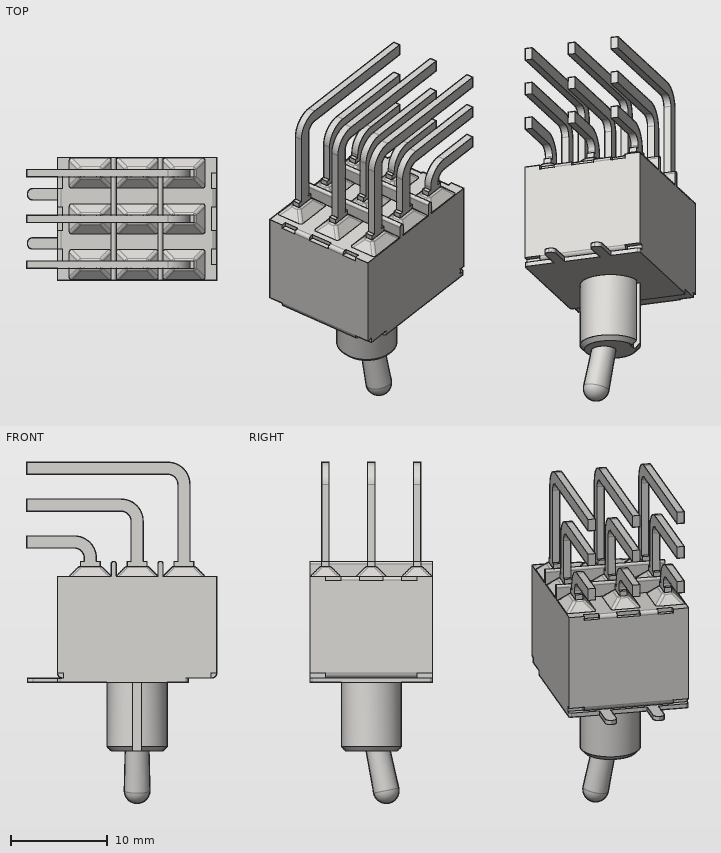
import cadquery as cq
import math


overall_length = 19.67
overall_height = 35.3

housing_length = 16.5
housing_width = 12.7
housing_top = 10.52
frame_thickness = 0.53
frame_width = 9.45
frame_bend_radius = 0.512
floor_length = 15.25

notch_depth = 0.42
notch_width = 0.53
folds_per_end = 2
fold_spacing = 4.35
fold_root_width = 1.9
fold_bend_radius = 0.4

columns = 3
rows = 3
column_pitch = 4.85
row_pitch = 4.73

boss_length = 4.38
boss_width = 3.1
boss_height = 1.02
boss_taper = 45.0
boss_edge_radius = 0.42

barrier_thickness = 0.53
barrier_top = 12.08

pin_width = 1.27
pin_thickness = 0.78
pin_level_pitch = 3.8
pin_bend_radius = 2.3
shoulder_length = 2.1
shoulder_top = 12.08

bracket_thickness = 0.45
bracket_right = 5.3
bracket_corner_radius = 0.25
lug_tip_gap = 0.07
lug_count = 2
lug_spacing = 5.1
lug_width = 1.2
lug_radius = 0.55

bushing_diameter = 6.25
bushing_bottom = -7.55
bushing_chamfer = 0.45
keyway_width = 0.95
keyway_depth = 0.75

lever_tilt = 11.5
lever_pivot = -4.03
lever_length = 7.77
lever_root_radius = 1.15
lever_tip_radius = 1.35

housing_end = housing_length / 2
housing_side = housing_width / 2
pin_end = housing_end - overall_length
tilt = math.radians(lever_tilt)
lever_bottom = lever_pivot - lever_length * math.cos(tilt) - lever_tip_radius
pin_top = lever_bottom + overall_height


def grid_positions(count, pitch):
    return [(index - (count - 1) / 2) * pitch for index in range(count)]


def block(x_min, x_max, width, z_min, z_max):
    """A box centred on Y = 0."""
    return (
        cq.Workplane("XY")
        .box(x_max - x_min, width, z_max - z_min, centered=(False, True, False))
        .translate((x_min, 0, z_min))
    )


def make_housing():
    shell = block(-housing_end, housing_end, housing_width, frame_thickness, housing_top)
    for side in (-1, 1):
        notch = block(-notch_width / 2, notch_width / 2, frame_width, housing_top - notch_depth, housing_top)
        shell = shell.cut(notch.translate((side * (housing_end - notch_width / 2), 0, 0)))
    floor = block(-floor_length / 2, floor_length / 2, housing_width, 0, frame_thickness)
    frame_base = block(-housing_end, housing_end, frame_width, 0, frame_thickness)
    frame_base = frame_base.edges("|Y and <Z").fillet(frame_bend_radius)
    return shell.union(floor).union(frame_base)


def make_fold(side, y):
    """Root of a frame tab, bent over the top edge at one end of the housing."""
    fold = block(0, notch_width, fold_root_width, housing_top - notch_depth, housing_top)
    fold = fold.edges("|Y and >Z and >X").fillet(fold_bend_radius)
    fold = fold.translate((housing_end - notch_width, y, 0))
    return fold if side > 0 else fold.mirror("YZ")


def make_boss():
    boss = cq.Workplane("XY").rect(boss_length, boss_width).extrude(boss_height, taper=boss_taper)
    boss = boss.edges("not <Z").fillet(boss_edge_radius)
    return boss.translate((0, 0, housing_top))


def make_barrier():
    """A round-topped wall across the full width of the housing."""
    half = barrier_thickness / 2
    return (
        cq.Workplane("XZ")
        .moveTo(-half, housing_top)
        .lineTo(-half, barrier_top - half)
        .threePointArc((0, barrier_top), (half, barrier_top - half))
        .lineTo(half, housing_top)
        .close()
        .extrude(housing_side, both=True)
    )


def make_pin(x, level):
    """A shouldered terminal that rises at x and bends toward -X with its upper face at level."""
    outer = x + pin_width / 2
    inner = x - pin_width / 2
    pin = (
        cq.Workplane("XZ")
        .moveTo(pin_end, level)
        .lineTo(outer - pin_bend_radius, level)
        .radiusArc((outer, level - pin_bend_radius), pin_bend_radius)
        .lineTo(outer, housing_top)
        .lineTo(inner, housing_top)
        .lineTo(inner, level - pin_bend_radius)
        .radiusArc((outer - pin_bend_radius, level - pin_width), pin_width - pin_bend_radius)
        .lineTo(pin_end, level - pin_width)
        .close()
        .extrude(pin_thickness / 2, both=True)
    )
    half_shoulder = shoulder_length / 2
    shoulder = block(x - half_shoulder, x + half_shoulder, pin_thickness, housing_top, shoulder_top)
    return pin.union(shoulder)


def make_bracket():
    plate = block(-housing_end, bracket_right, housing_width, -bracket_thickness, 0)
    plate = plate.edges("|Z").fillet(bracket_corner_radius)
    for y in grid_positions(lug_count, lug_spacing):
        lug = block(pin_end + lug_tip_gap, 0, lug_width, -bracket_thickness, 0)
        lug = lug.edges("|Z and <X").fillet(lug_radius)
        plate = plate.union(lug.translate((0, y, 0)))
    return plate


def make_bushing():
    bushing = cq.Workplane("XY").circle(bushing_diameter / 2).extrude(bushing_bottom)
    bushing = bushing.faces("<Z").chamfer(bushing_chamfer)
    keyway = block(-keyway_width / 2, keyway_width / 2, 2 * keyway_depth, bushing_bottom, 0)
    keyway = keyway.translate((0, -bushing_diameter / 2, 0))
    return bushing.cut(keyway)


def make_lever():
    """A round-ended lever that widens toward its tip and leans toward +Y."""
    tip = lever_length + lever_tip_radius
    lever = (
        cq.Workplane("XZ")
        .lineTo(lever_root_radius, 0)
        .lineTo(lever_tip_radius, -lever_length)
        .radiusArc((0, -tip), lever_tip_radius)
        .close()
        .revolve(360, (0, 0, 0), (0, 1, 0))
    )
    return lever.rotate((0, 0, 0), (1, 0, 0), lever_tilt).translate((0, 0, lever_pivot))


def make_switch(lever):
    switch = make_housing().union(make_bushing().union(make_bracket()))
    for side in (-1, 1):
        for y in grid_positions(folds_per_end, fold_spacing):
            switch = switch.union(make_fold(side, y))
    for x in grid_positions(columns - 1, column_pitch):
        switch = switch.union(make_barrier().translate((x, 0, 0)))
    for column, x in enumerate(grid_positions(columns, column_pitch)):
        level = pin_top - (columns - 1 - column) * pin_level_pitch
        terminal = make_boss().translate((x, 0, 0)).union(make_pin(x, level))
        for y in grid_positions(rows, row_pitch):
            switch = switch.union(terminal.translate((0, y, 0)))
    return switch.cut(lever)


lever = make_lever()
switch = make_switch(lever)

result = cq.Compound.makeCompound([switch.solids().val(), lever.val()])